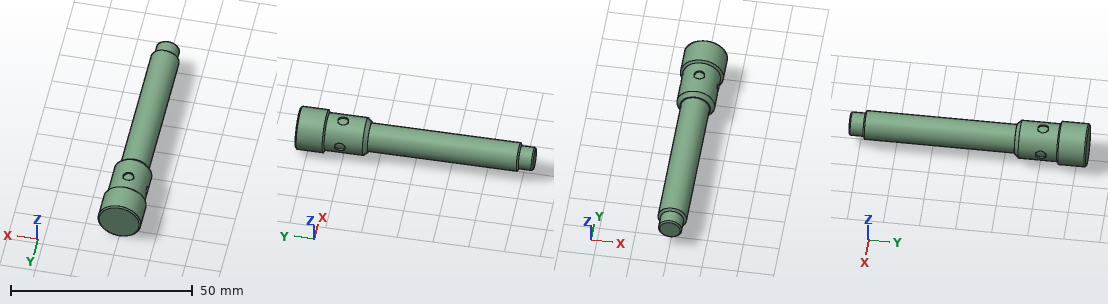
import cadquery as cq
import math

length = 66.0

head_diameter = 12.0
collar_diameter = 10.55
shoulder_end_diameter = 8.5
shaft_diameter = 8.0
tip_diameter = 6.5

head_length = 7.65
collar_end = 18.75
shaft_end = 61.6

end_chamfer = 0.4
step_cone_angle = 30.0
shoulder_cone_angle = 50.0

recess_diameter = 3.0
recess_depth = 0.5
recess_distance = 12.5
recess_count = 4


def cone_length(large_diameter, small_diameter, angle):
    """Axial length of a cone whose axial rise per unit of radius is tan(angle)."""
    return (large_diameter - small_diameter) / 2 * math.tan(math.radians(angle))


def make_body():
    """Revolve the stepped half profile about the Y axis."""
    head_radius = head_diameter / 2
    collar_radius = collar_diameter / 2
    shaft_radius = shaft_diameter / 2
    tip_radius = tip_diameter / 2
    head_cone = cone_length(head_diameter, collar_diameter, step_cone_angle)
    shoulder_cone = cone_length(collar_diameter, shoulder_end_diameter, shoulder_cone_angle)
    shaft_cone = cone_length(shaft_diameter, tip_diameter, step_cone_angle)
    head_base = length - head_length
    collar_base = length - collar_end
    shaft_base = length - shaft_end
    profile = [
        (0, 0),
        (tip_radius - end_chamfer, 0),
        (tip_radius, end_chamfer),
        (tip_radius, shaft_base - shaft_cone),
        (shaft_radius, shaft_base),
        (shaft_radius, collar_base - shoulder_cone),
        (shoulder_end_diameter / 2, collar_base - shoulder_cone),
        (collar_radius, collar_base),
        (collar_radius, head_base - head_cone),
        (head_radius, head_base),
        (head_radius, length - end_chamfer),
        (head_radius - end_chamfer, length),
        (0, length),
    ]
    return cq.Workplane("XY").polyline(profile).close().revolve(360, (0, 0, 0), (0, 1, 0))


def make_recess_cutters():
    """Radial cylinders around the collar, trimmed to a floor concentric with the Y axis."""
    recess_y = length - recess_distance
    radial_cylinder = (
        cq.Workplane("XY", origin=(0, recess_y, 0))
        .circle(recess_diameter / 2)
        .extrude(collar_diameter)
    )
    cutters = cq.Workplane("XY")
    for index in range(recess_count):
        turn = index * 360 / recess_count
        cutters = cutters.add(radial_cylinder.rotate((0, 0, 0), (0, 1, 0), turn))
    floor_core = (
        cq.Workplane("XZ", origin=(0, recess_y, 0))
        .circle(collar_diameter / 2 - recess_depth)
        .extrude(recess_diameter, both=True)
    )
    return cutters.combine().cut(floor_core)


result = make_body().cut(make_recess_cutters())